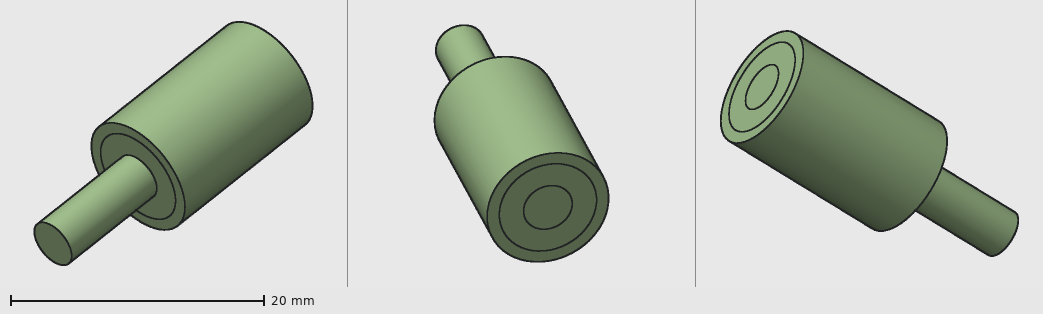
import cadquery as cq

total_length = 25.0
housing_length = 15.0
housing_diameter = 10.0
housing_wall = 1.0
pin_diameter = 4.0

bore_diameter = housing_diameter - 2 * housing_wall
pin_projection = total_length - housing_length


def cylinder_along_y(diameter, front_y, length):
    """Solid cylinder on the Y axis, running from front_y toward +Y."""
    return (
        cq.Workplane("XZ", origin=(0, front_y, 0))
        .circle(diameter / 2)
        .extrude(-length)
    )


def make_housing():
    """Outer sleeve with a through bore for the bushing."""
    bore = cylinder_along_y(bore_diameter, pin_projection, housing_length)
    return cylinder_along_y(housing_diameter, pin_projection, housing_length).cut(bore)


def make_bushing():
    """Ring that fills the space between the housing and the pin."""
    bore = cylinder_along_y(pin_diameter, pin_projection, housing_length)
    return cylinder_along_y(bore_diameter, pin_projection, housing_length).cut(bore)


def make_pin():
    """Centre pin through the bushing, projecting from its -Y face."""
    return cylinder_along_y(pin_diameter, 0, total_length)


housing = make_housing()
bushing = make_bushing()
pin = make_pin()

result = cq.Compound.makeCompound([housing.val(), bushing.val(), pin.val()])